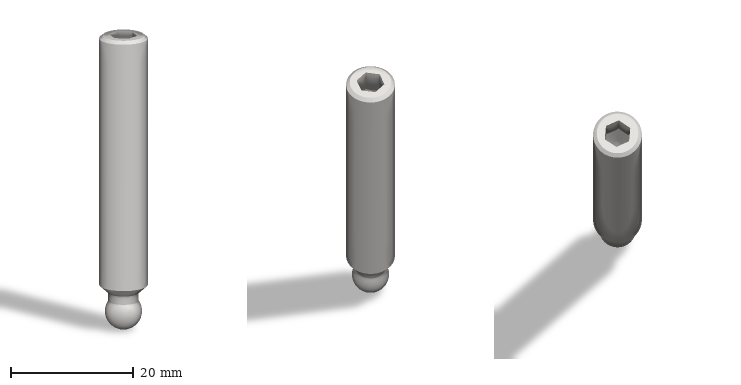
import cadquery as cq
import math

length = 50.0
shank_radius = 4.0

ball_radius = 3.05
neck_radius = 2.5
neck_top_z = 6.2

cone_height = 1.35
top_chamfer_width = 0.6
top_chamfer_height = 0.5

hex_across_flats = 4.0
hex_depth = 4.0
floor_cone_angle = 120.0

ball_neck_z = ball_radius + math.sqrt(ball_radius**2 - neck_radius**2)
shank_bottom_z = neck_top_z + cone_height
hex_across_corners = hex_across_flats / math.cos(math.pi / 6)
socket_radius = hex_across_corners / 2
floor_cone_depth = socket_radius / math.tan(math.radians(floor_cone_angle / 2))
corner_floor_z = length - hex_depth
socket_tip_z = corner_floor_z - floor_cone_depth


def make_body():
    """Shank, neck and ball turned as one profile about the Z axis."""
    return (
        cq.Workplane("XZ")
        .moveTo(0, 0)
        .threePointArc((ball_radius, ball_radius), (neck_radius, ball_neck_z))
        .lineTo(neck_radius, neck_top_z)
        .lineTo(shank_radius, shank_bottom_z)
        .lineTo(shank_radius, length - top_chamfer_height)
        .lineTo(shank_radius - top_chamfer_width, length)
        .lineTo(0, length)
        .close()
        .revolve(360, (0, 0, 0), (0, 1, 0))
    )


def make_socket():
    """Hexagonal pocket, corners along X, whose whole floor is a cone reaching the corners."""
    hexagon = (
        cq.Workplane("XY")
        .workplane(offset=socket_tip_z)
        .polygon(6, hex_across_corners)
        .extrude(length - socket_tip_z)
    )
    pointed_cylinder = (
        cq.Workplane("XZ")
        .moveTo(0, socket_tip_z)
        .lineTo(socket_radius, corner_floor_z)
        .lineTo(socket_radius, length)
        .lineTo(0, length)
        .close()
        .revolve(360, (0, 0, 0), (0, 1, 0))
    )
    return hexagon.intersect(pointed_cylinder)


result = make_body().cut(make_socket())